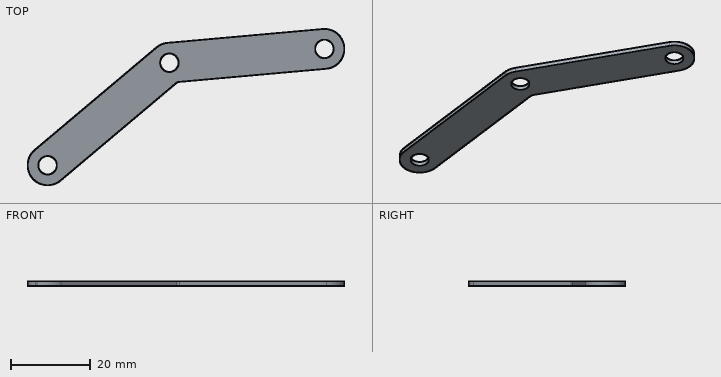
import cadquery as cq
import math

thickness = 1.27
arm_width = 10.16
hole_diameter = 4.62
end_radius = arm_width / 2

long_arm_length = 40.28
short_arm_length = 39.38
long_arm_angle = 40.1
short_arm_angle = 5.1
inner_bend_radius = 1.4

end_flat_width = 0.6
end_flat_angle = 234.7


def step(start, distance, angle):
    """Point at the given distance and direction (degrees) from start."""
    return (
        start[0] + distance * math.cos(math.radians(angle)),
        start[1] + distance * math.sin(math.radians(angle)),
    )


bend_hole = (0.0, 0.0)
long_arm_hole = step(bend_hole, -long_arm_length, long_arm_angle)
short_arm_hole = step(bend_hole, short_arm_length, short_arm_angle)
hole_centers = [long_arm_hole, bend_hole, short_arm_hole]

bisector_angle = (long_arm_angle + short_arm_angle) / 2
half_bend = math.radians(long_arm_angle - short_arm_angle) / 2
inner_corner = step(bend_hole, -end_radius / math.cos(half_bend), bisector_angle + 90)

end_flat_half_angle = math.degrees(math.asin(end_flat_width / 2 / end_radius))


def make_plate():
    """Two arms with round ends, joined by a rounded bend around the middle hole."""
    flat_start = end_flat_angle + end_flat_half_angle
    flat_end = end_flat_angle - end_flat_half_angle
    long_arm_side = long_arm_angle + 90
    short_arm_side = short_arm_angle + 90
    plate = (
        cq.Workplane("XY")
        .moveTo(*step(long_arm_hole, end_radius, long_arm_side))
        .lineTo(*step(bend_hole, end_radius, long_arm_side))
        .threePointArc(
            step(bend_hole, end_radius, bisector_angle + 90),
            step(bend_hole, end_radius, short_arm_side),
        )
        .lineTo(*step(short_arm_hole, end_radius, short_arm_side))
        .threePointArc(
            step(short_arm_hole, end_radius, short_arm_angle),
            step(short_arm_hole, -end_radius, short_arm_side),
        )
        .lineTo(*inner_corner)
        .lineTo(*step(long_arm_hole, -end_radius, long_arm_side))
        .threePointArc(
            step(long_arm_hole, end_radius, (long_arm_side + 180 + flat_start) / 2),
            step(long_arm_hole, end_radius, flat_start),
        )
        .lineTo(*step(long_arm_hole, end_radius, flat_end))
        .threePointArc(
            step(long_arm_hole, end_radius, (flat_end + long_arm_side) / 2),
            step(long_arm_hole, end_radius, long_arm_side),
        )
        .close()
        .extrude(thickness)
    )
    inner_edge = cq.selectors.NearestToPointSelector((*inner_corner, thickness / 2))
    return plate.edges("|Z").edges(inner_edge).fillet(inner_bend_radius)


def drill_holes(plate):
    """Through holes at both ends and at the bend."""
    top = plate.faces(">Z").workplane(origin=bend_hole)
    return top.pushPoints(hole_centers).hole(hole_diameter)


result = drill_holes(make_plate())